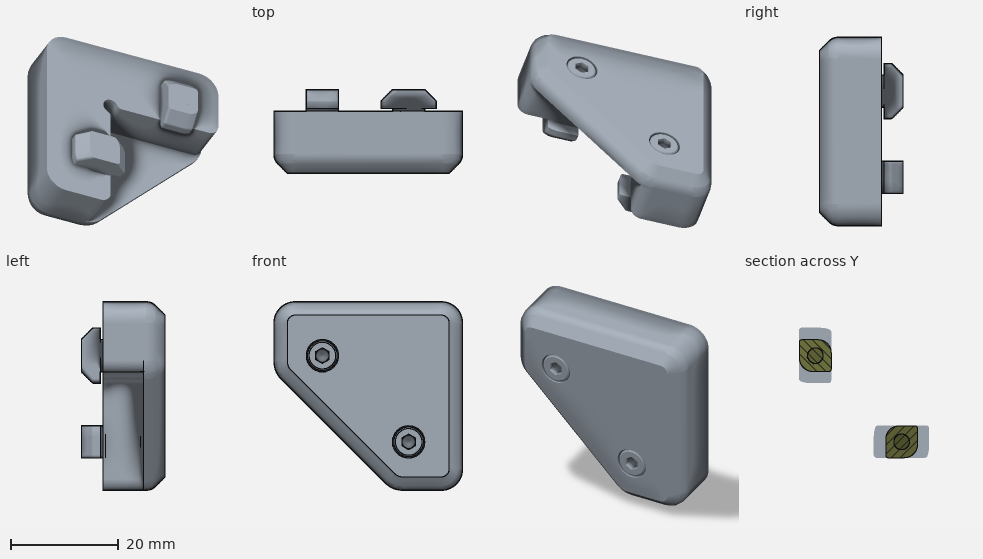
import cadquery as cq
import math

SIDE = 35.0
TOTAL_DEPTH = 15.5

HOUSING_DEPTH = 11.5
PLATE_DEPTH = 4.0
ARM_WIDTH = 13.02
CORNER_RADIUS = 4.0
FRONT_CHAMFER = 2.5
CHAMFER_BLEND_RADIUS = 2.5
ARM_END_RADIUS = 2.0
DIAGONAL_CORNER_RADIUS = ARM_END_RADIUS / math.tan(math.radians(22.5))
RELIEF_RADIUS = 1.47
RELIEF_MOUTH_RADIUS = 1.0
ARM_INNER = SIDE - ARM_WIDTH
SQUARE_CORNERS = [(0, SIDE), (SIDE, SIDE), (SIDE, 0)]
ARM_END_CORNERS = [(0, ARM_INNER), (ARM_INNER, 0)]

SCREW_FROM_END = 9.0
SCREW_FROM_SIDE = 10.0

SCREW_DIAMETER = 3.0
CLEARANCE_DIAMETER = 3.4
HEAD_DIAMETER = 5.5
HEAD_CHAMFER = 0.28
COUNTERBORE_DIAMETER = 6.0
COUNTERBORE_WALL_DEPTH = 4.5
FLOOR_CHAMFER = 0.25
HEAD_HEIGHT = COUNTERBORE_WALL_DEPTH + FLOOR_CHAMFER
SOCKET_ACROSS_FLATS = 2.5
SOCKET_DEPTH = 1.3
SOCKET_TIP_ANGLE = 118.0

NUT_LENGTH = 10.25
NUT_WIDTH = 6.0
NUT_BODY_DEPTH = 3.5
NUT_BACK_LENGTH = 6.1
NUT_SEAT_DEPTH = 0.5
NUT_SMALL_RADIUS = 0.5
NUT_TURN_RADIUS = 4.6
NUT_TURN_START = 1.0
NECK_TURN_RADIUS = 2.52
NUT_FRONT_Y = HOUSING_DEPTH - NUT_SEAT_DEPTH
NUT_BODY_Y = TOTAL_DEPTH - NUT_BODY_DEPTH

SCREW_PLACES = [
    (SCREW_FROM_END, SIDE - SCREW_FROM_SIDE, 90),
    (SIDE - SCREW_FROM_SIDE, SCREW_FROM_END, 0),
]

PICK = 0.05


def plane_at(y):
    """XZ plane at depth y, whose local axes are X and Z; a negative extrusion goes toward +Y."""
    return cq.Workplane("XZ", origin=(0, y, 0))


def cylinder(diameter, y_start, y_end):
    return plane_at(y_start).circle(diameter / 2).extrude(y_start - y_end)


def round_corners(solid, corners, radius):
    """Round the edges parallel to Y that pass through the given (x, z) corners."""
    for x, z in corners:
        box = cq.selectors.BoxSelector((x - PICK, -SIDE, z - PICK), (x + PICK, SIDE, z + PICK))
        solid = solid.edges("|Y").edges(box).fillet(radius)
    return solid


def round_rim(solid, y, radius):
    """Round the edges that lie in the plane at depth y."""
    slab = cq.selectors.BoxSelector((-SIDE, y - PICK, -SIDE), (2 * SIDE, y + PICK, 2 * SIDE))
    return solid.edges("not(|Y)").edges(slab).fillet(radius)


def place(body, x, z, turn):
    return body.rotate((0, 0, 0), (0, 1, 0), turn).translate((x, 0, z))


def make_front_plate():
    outline = [(0, ARM_INNER), *SQUARE_CORNERS, (ARM_INNER, 0)]
    plate = plane_at(0).polyline(outline).close().extrude(-PLATE_DEPTH)
    plate = round_corners(plate, SQUARE_CORNERS, CORNER_RADIUS)
    plate = round_corners(plate, ARM_END_CORNERS, DIAGONAL_CORNER_RADIUS)
    plate = plate.faces("<Y").chamfer(FRONT_CHAMFER)
    return round_rim(plate, FRONT_CHAMFER, CHAMFER_BLEND_RADIUS)


def make_rear_arms():
    """L-shaped block behind the plate, with a round relief in its inner corner."""
    outline = [(0, ARM_INNER), *SQUARE_CORNERS, (ARM_INNER, 0), (ARM_INNER, ARM_INNER)]
    arms = plane_at(PLATE_DEPTH).polyline(outline).close().extrude(PLATE_DEPTH - HOUSING_DEPTH)
    arms = round_corners(arms, SQUARE_CORNERS, CORNER_RADIUS)
    arms = round_corners(arms, ARM_END_CORNERS, ARM_END_RADIUS)
    relief = cylinder(2 * RELIEF_RADIUS, PLATE_DEPTH, HOUSING_DEPTH)
    arms = arms.cut(relief.translate((ARM_INNER, 0, ARM_INNER)))
    relief_mouth = [
        (ARM_INNER - RELIEF_RADIUS, ARM_INNER),
        (ARM_INNER, ARM_INNER - RELIEF_RADIUS),
    ]
    return round_corners(arms, relief_mouth, RELIEF_MOUTH_RADIUS)


def make_screw_hole():
    counterbore = cylinder(COUNTERBORE_DIAMETER, 0, COUNTERBORE_WALL_DEPTH + FLOOR_CHAMFER)
    counterbore = counterbore.faces(">Y").chamfer(FLOOR_CHAMFER)
    return counterbore.union(cylinder(CLEARANCE_DIAMETER, 0, HOUSING_DEPTH))


def make_nut_neck():
    half = NUT_WIDTH / 2
    neck = plane_at(NUT_FRONT_Y).rect(NUT_WIDTH, NUT_WIDTH).extrude(NUT_FRONT_Y - NUT_BODY_Y)
    neck = round_corners(neck, [(-half, half), (half, -half)], NECK_TURN_RADIUS)
    return round_corners(neck, [(half, half), (-half, -half)], NUT_SMALL_RADIUS)


def make_housing():
    housing = make_front_plate().union(make_rear_arms()).clean()
    for x, z, turn in SCREW_PLACES:
        housing = housing.cut(place(make_screw_hole(), x, z, 0))
        housing = housing.cut(place(make_nut_neck(), x, z, turn))
    return housing


def nut_body_plan():
    """Nut body along Y: a turning arc at two opposite corners, the other two square."""
    half_length = NUT_LENGTH / 2
    half_width = NUT_WIDTH / 2
    arc_center = half_length - NUT_TURN_RADIUS
    rise = half_width - NUT_TURN_START
    arc_end = arc_center + math.sqrt(NUT_TURN_RADIUS**2 - rise**2)
    middle_angle = math.asin(rise / NUT_TURN_RADIUS) / 2
    middle_x = arc_center + NUT_TURN_RADIUS * math.cos(middle_angle)
    middle_z = NUT_TURN_START + NUT_TURN_RADIUS * math.sin(middle_angle)
    return (
        plane_at(NUT_BODY_Y)
        .moveTo(half_length, half_width)
        .lineTo(-arc_end, half_width)
        .threePointArc((-middle_x, middle_z), (-half_length, NUT_TURN_START))
        .lineTo(-half_length, -half_width)
        .lineTo(arc_end, -half_width)
        .threePointArc((middle_x, -middle_z), (half_length, -NUT_TURN_START))
        .close()
    )


def make_nut():
    end_slope = (NUT_LENGTH - NUT_BACK_LENGTH) / 2
    body = nut_body_plan().extrude(-NUT_BODY_DEPTH)
    body = body.faces(">Y").edges("not(<Z or >Z)").chamfer(end_slope)
    body = round_rim(body, TOTAL_DEPTH - end_slope, NUT_SMALL_RADIUS)
    body = body.edges("|Y").edges("<Z or >Z").fillet(NUT_SMALL_RADIUS)
    nut = body.union(make_nut_neck())
    return nut.cut(cylinder(SCREW_DIAMETER, 0, TOTAL_DEPTH))


def make_screw():
    head = cylinder(HEAD_DIAMETER, 0, HEAD_HEIGHT).faces("<Y").chamfer(HEAD_CHAMFER)
    shank = cylinder(SCREW_DIAMETER, HEAD_HEIGHT, TOTAL_DEPTH)
    across_corners = SOCKET_ACROSS_FLATS / math.cos(math.radians(30))
    hexagon = plane_at(0).transformed(rotate=(0, 0, 90)).polygon(6, across_corners)
    socket = hexagon.extrude(-SOCKET_DEPTH)
    tip_radius = SOCKET_ACROSS_FLATS / 2
    tip_depth = tip_radius / math.tan(math.radians(SOCKET_TIP_ANGLE / 2))
    tip_base = cq.Vector(0, SOCKET_DEPTH, 0)
    tip = cq.Solid.makeCone(tip_radius, 0, tip_depth, tip_base, cq.Vector(0, 1, 0))
    return head.union(shank).cut(socket).cut(cq.Workplane(tip))


housing = make_housing()
screws = [place(make_screw(), x, z, 0).val() for x, z, turn in SCREW_PLACES]
nuts = [place(make_nut(), x, z, turn).val() for x, z, turn in SCREW_PLACES]
result = cq.Compound.makeCompound([housing.val(), *screws, *nuts])